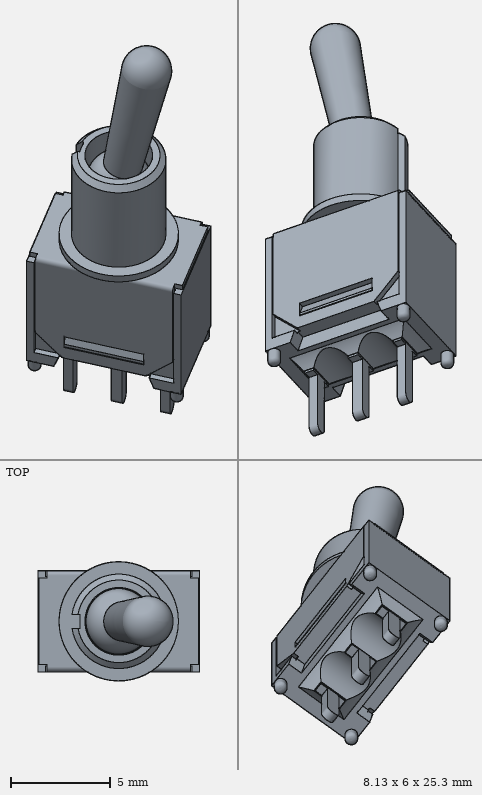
import cadquery as cq
import math


case_length = 8.13
case_width = 5.1
case_height = 7.4
sheet_thickness = 0.3
bend_radius = 0.25
tab_setback = 0.05
post_length = 0.45
post_width = 0.38
flap_gap = 0.06
flap_half_length = case_length / 2 - post_length
recess_half_length = flap_half_length + flap_gap
flap_bottom = 0.76
recess_bottom = 0.68
flap_corner = 1.4
case_side = case_width / 2

window_length = 4.2
window_bottom = 1.52
window_top = 2.28
catch_edge = 1.7
catch_depth = 0.05
catch_slope_depth = 0.33

cutout_bottom_half_length = 2.63
cutout_top_half_length = 2.35
cutout_depth = 0.8

flange_diameter = 6.0
flange_thickness = 0.42
bushing_diameter = 4.75
bushing_top = 13.43
bushing_chamfer = 0.3
keyway_width = 0.7
keyway_floor_radius = 1.95
bore_diameter = 3.4

lever_tilt = 10.0
pivot_height = 11.58
ball_diameter = 3.3
lever_top = 21.16
lever_root_radius = 0.95
lever_tip_radius = 1.27
tip_center_height = lever_top - lever_tip_radius
tip_center_distance = (tip_center_height - pivot_height) / math.cos(math.radians(lever_tilt))

peg_diameter = 0.65
peg_length = 0.78
peg_rounding = 0.25
peg_x = case_length / 2 - peg_diameter / 2
peg_y = case_side - peg_diameter / 2

pin_pitch = 2.55
end_pin_thickness = 0.5
middle_pin_thickness = 0.58
pin_width = 0.7
pin_bottom = -4.1
shoulder_width = 1.55
shoulder_bottom = -0.7

resin_bottom = -0.57
resin_top_half_width = 1.43
resin_bottom_half_width = 0.8
resin_mid_half_width = 1.06
resin_neck = 0.3
resin_end = pin_pitch + 0.75
resin_end_hollow = 0.03
resin_web = -0.07


def block(x_size, y_size, z_low, z_high):
    return (
        cq.Workplane("XY", origin=(0, 0, z_low))
        .rect(x_size, y_size)
        .extrude(z_high - z_low)
    )


def side_prism(points, outer_y, depth):
    """Outline in X and Z, extruded from Y = outer_y toward +Y."""
    return cq.Workplane("XZ", origin=(0, outer_y, 0)).polyline(points).close().extrude(-depth)


def both_sides(shape):
    return shape.union(shape.mirror("XZ"))


def make_base():
    base = block(case_length, case_width, 0, case_height - sheet_thickness)
    recess = block(2 * recess_half_length, sheet_thickness, recess_bottom, case_height)
    recess = recess.translate((0, sheet_thickness / 2 - case_side, 0))
    cutout = side_prism(
        [
            (-cutout_bottom_half_length, 0),
            (cutout_bottom_half_length, 0),
            (cutout_top_half_length, flap_bottom),
            (-cutout_top_half_length, flap_bottom),
        ],
        -case_side,
        cutout_depth,
    )
    return base.cut(both_sides(recess)).cut(both_sides(cutout))


def make_cover():
    wrap = (
        block(2 * flap_half_length, case_width, flap_bottom, case_height)
        .edges("|X and >Z")
        .fillet(bend_radius)
        .edges("|Y and <Z")
        .chamfer(flap_corner)
    )
    inside = block(
        case_length, case_width - 2 * sheet_thickness, 0, case_height - sheet_thickness
    )
    top_tabs = block(
        case_length - 2 * tab_setback,
        case_width - 2 * post_width,
        case_height - sheet_thickness,
        case_height,
    )
    return wrap.cut(inside).union(top_tabs)


def make_latch_recess():
    profile = [
        (-case_side, window_bottom),
        (-case_side + catch_depth, window_bottom),
        (-case_side + catch_depth, catch_edge),
        (-case_side + catch_slope_depth, window_top),
        (-case_side, window_top),
    ]
    return (
        cq.Workplane("YZ", origin=(-window_length / 2, 0, 0))
        .polyline(profile)
        .close()
        .extrude(window_length)
    )


def make_bushing():
    flange = (
        cq.Workplane("XY", origin=(0, 0, case_height))
        .circle(flange_diameter / 2)
        .extrude(flange_thickness)
    )
    barrel = (
        cq.Workplane("XY", origin=(0, 0, case_height))
        .circle(bushing_diameter / 2)
        .extrude(bushing_top - case_height)
        .faces(">Z")
        .chamfer(bushing_chamfer)
    )
    keyway = block(
        bushing_diameter, keyway_width, case_height + flange_thickness, bushing_top
    ).translate((-keyway_floor_radius - bushing_diameter / 2, 0, 0))
    return barrel.cut(keyway).union(flange)


def make_socket():
    """Bore above the pivot, ending in a spherical seat for the lever ball."""
    bore = (
        cq.Workplane("XY", origin=(0, 0, pivot_height))
        .circle(bore_diameter / 2)
        .extrude(bushing_top - pivot_height)
    )
    seat = cq.Workplane("XY", origin=(0, 0, pivot_height)).sphere(ball_diameter / 2)
    return bore.union(seat)


def make_pegs():
    return (
        cq.Workplane("XY")
        .rect(2 * peg_x, 2 * peg_y, forConstruction=True)
        .vertices()
        .circle(peg_diameter / 2)
        .extrude(-peg_length)
        .faces("<Z")
        .edges()
        .fillet(peg_rounding)
    )


def make_terminal(x, thickness):
    tip_radius = pin_width / 2
    blade = (
        cq.Workplane("YZ", origin=(x - thickness / 2, 0, 0))
        .moveTo(-tip_radius, 0)
        .lineTo(-tip_radius, pin_bottom + tip_radius)
        .threePointArc((0, pin_bottom), (tip_radius, pin_bottom + tip_radius))
        .lineTo(tip_radius, 0)
        .close()
        .extrude(thickness)
    )
    shoulder = block(thickness, shoulder_width, shoulder_bottom, 0).translate((x, 0, 0))
    return blade.union(shoulder)


def make_resin():
    """Scalloped ridge along X, tapered in Y."""
    outer_neck = pin_pitch + resin_neck
    inner_neck = pin_pitch - resin_neck
    outer_mid = ((outer_neck + resin_end) / 2 - resin_end_hollow, resin_bottom / 2)
    ridge = (
        cq.Workplane("XZ", origin=(0, resin_top_half_width, 0))
        .moveTo(-resin_end, 0)
        .threePointArc((-outer_mid[0], outer_mid[1]), (-outer_neck, resin_bottom))
        .lineTo(-inner_neck, resin_bottom)
        .threePointArc((-pin_pitch / 2, resin_web), (-resin_neck, resin_bottom))
        .lineTo(resin_neck, resin_bottom)
        .threePointArc((pin_pitch / 2, resin_web), (inner_neck, resin_bottom))
        .lineTo(outer_neck, resin_bottom)
        .threePointArc(outer_mid, (resin_end, 0))
        .close()
        .extrude(2 * resin_top_half_width)
    )
    taper = (
        cq.Workplane("YZ", origin=(-resin_end, 0, 0))
        .moveTo(-resin_top_half_width, 0)
        .threePointArc(
            (-resin_mid_half_width, resin_bottom / 2),
            (-resin_bottom_half_width, resin_bottom),
        )
        .lineTo(resin_bottom_half_width, resin_bottom)
        .threePointArc((resin_mid_half_width, resin_bottom / 2), (resin_top_half_width, 0))
        .close()
        .extrude(2 * resin_end)
    )
    return ridge.intersect(taper)


def make_housing():
    housing = make_base().union(make_cover())
    housing = housing.cut(both_sides(make_latch_recess()))
    housing = housing.union(make_bushing()).cut(make_socket())
    housing = housing.union(make_pegs()).union(make_resin())
    for x, thickness in (
        (-pin_pitch, end_pin_thickness),
        (0, middle_pin_thickness),
        (pin_pitch, end_pin_thickness),
    ):
        housing = housing.union(make_terminal(x, thickness))
    return housing


def make_lever():
    """Conical lever with a ball at the pivot and a spherical tip, tilted about the pivot."""
    tip_diagonal = lever_tip_radius * math.sqrt(0.5)
    shaft = (
        cq.Workplane("XZ")
        .moveTo(0, 0)
        .lineTo(lever_root_radius, 0)
        .lineTo(lever_tip_radius, tip_center_distance)
        .threePointArc(
            (tip_diagonal, tip_center_distance + tip_diagonal),
            (0, tip_center_distance + lever_tip_radius),
        )
        .close()
        .revolve(360, (0, 0, 0), (0, 1, 0))
    )
    ball = cq.Workplane("XY").sphere(ball_diameter / 2)
    return (
        shaft.union(ball)
        .rotate((0, 0, 0), (0, 1, 0), lever_tilt)
        .translate((0, 0, pivot_height))
    )


housing = make_housing()
lever = make_lever()

result = cq.Compound.makeCompound([*housing.solids().vals(), *lever.solids().vals()])